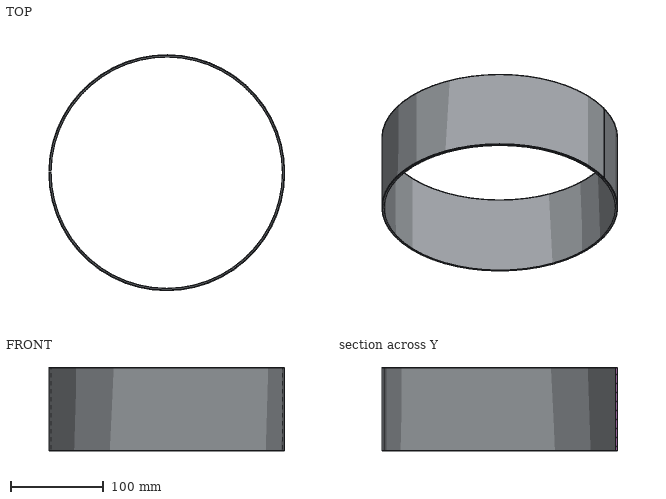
import cadquery as cq

outer_diameter = 255.0
height = 90.0
wall = 2.5
slit_width = 2.0
rim_chamfer = 0.6

outer_radius = outer_diameter / 2
inner_radius = outer_radius - wall


def make_band():
    """Thin cylindrical band with both outer rims chamfered."""
    outside = cq.Workplane("XY").circle(outer_radius).extrude(height)
    outside = outside.faces("<Z or >Z").edges().chamfer(rim_chamfer)
    bore = cq.Workplane("XY").circle(inner_radius).extrude(height)
    return outside.cut(bore)


def make_slit():
    """Full-height cutter that opens the band on its -X side, from the XZ plane toward +Y."""
    cutter = cq.Workplane("XY").box(outer_radius, slit_width, height, centered=False)
    return cutter.translate((-outer_radius, 0, 0))


result = make_band().cut(make_slit())